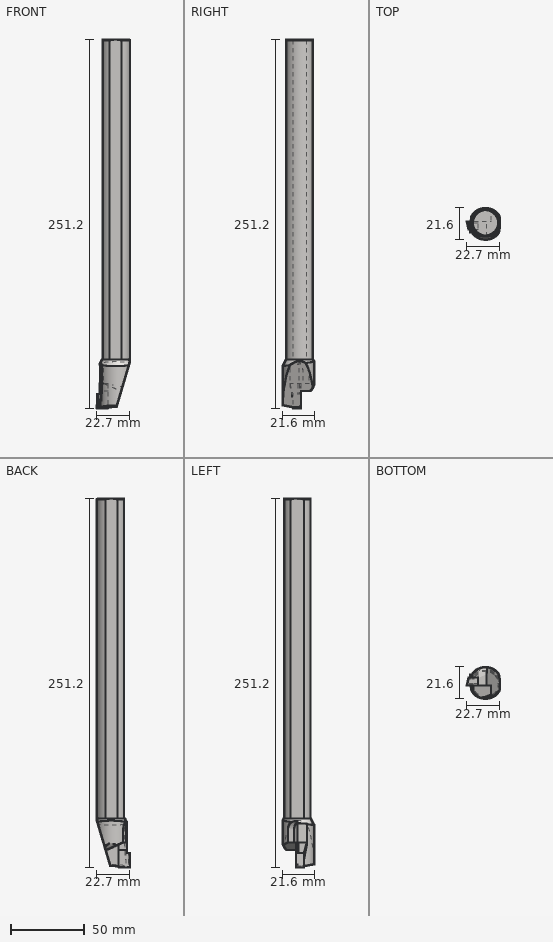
import cadquery as cq

top_z = 251.2
shank_diameter = 19.8
shank_radius = shank_diameter / 2
shank_end_z = 33.5
side_flat = 9.0
back_flat = 8.8
end_chamfer_width = 1.3
end_chamfer_height = 0.8

head_radius = 10.8
head_offset_y = -0.8
shoulder_top_radius = 9.3
shoulder_radius = head_radius - head_offset_y
shoulder_base_z = 29.0
taper_top = (10.0, 32.7)
taper_bottom = (0.8, 1.3)
heel_z = 0.3
heel_rise_y = 2.3

rake_y = 1.0
wall_x = -8.0
wall_bottom_z = 17.0
ramp_start_z = 24.9
ramp_mid = (-8.5, 28.6)
ramp_end = (-10.3, 32.0)
wall_inner_y = 2.3
wall_outer_y = -0.3
wall_step_x = -10.0
lip_x = 3.8
lip_z = 11.8
corner_points = [(10.3, 19.8), (9.3, 14.5), (7.3, lip_z)]

relief_edge_y = -6.8
relief_edge_x = -9.0
relief_top_z = 30.2
relief_tip_z = 5.5

insert_top_z = 17.0
insert_depth_x = -5.0
insert_seat_x = -10.5
insert_land_x = -12.5
insert_land_z = 10.0
nose_x = -12.8
nose_height = 2.3
clearance_x = -11.5
insert_base_y = -6.5
insert_tip_base_y = -4.5

span = 30.2


def prism_along_y(points, y_low, y_high):
    """Extrude an XZ outline between two Y positions."""
    plane = cq.Workplane("XZ", origin=(0, y_high, 0))
    return plane.polyline(points).close().extrude(y_high - y_low)


def make_shank():
    bar = (
        cq.Workplane("XZ")
        .moveTo(0, shank_end_z)
        .lineTo(shank_radius, shank_end_z)
        .lineTo(shank_radius, top_z - end_chamfer_height)
        .lineTo(shank_radius - end_chamfer_width, top_z)
        .lineTo(0, top_z)
        .close()
        .revolve(360, (0, 0, 0), (0, 1, 0))
    )
    flats = cq.Workplane("XY").box(
        back_flat + span, 2 * side_flat, top_z, centered=(False, True, False)
    ).translate((-back_flat, 0, 0))
    return bar.intersect(flats)


def make_head_blank():
    """Offset round, trimmed by the shoulder cone, the taper and the underside."""
    round_body = cq.Workplane("XY").center(0, head_offset_y).circle(head_radius).extrude(shank_end_z)
    shoulder = (
        cq.Workplane("XZ")
        .polyline([
            (0, 0),
            (shoulder_radius, 0),
            (shoulder_radius, shoulder_base_z),
            (shoulder_top_radius, shank_end_z),
            (0, shank_end_z),
        ])
        .close()
        .revolve(360, (0, 0, 0), (0, 1, 0))
    )
    taper = prism_along_y(
        [(-span, heel_z), (-head_radius, heel_z), taper_bottom, taper_top, (taper_top[0], top_z), (-span, top_z)],
        -span, span,
    )
    underside = (
        cq.Workplane("YZ", origin=(-span, 0, 0))
        .polyline([(span, 0), (0, 0), (-shoulder_radius, heel_rise_y), (-shoulder_radius, top_z), (span, top_z)])
        .close()
        .extrude(2 * span)
    )
    return round_body.intersect(shoulder).intersect(taper).intersect(underside)


def make_chip_wall_cut():
    """Upright wall that runs out upwards in an arc, with a slanted inner side."""
    wall = (
        cq.Workplane("XZ", origin=(0, span, 0))
        .moveTo(-span, wall_bottom_z)
        .lineTo(wall_x, wall_bottom_z)
        .lineTo(wall_x, ramp_start_z)
        .threePointArc(ramp_mid, ramp_end)
        .lineTo(-span, ramp_end[1])
        .close()
        .extrude(2 * span)
    )
    slanted_side = (
        cq.Workplane("XY")
        .polyline([
            (wall_x, span),
            (wall_x, wall_inner_y),
            (wall_step_x, wall_outer_y),
            (-span, wall_outer_y),
            (-span, span),
        ])
        .close()
        .extrude(shank_end_z)
    )
    return wall.intersect(slanted_side)


def make_rake_cut():
    """Clearance above the rake plane, below the sloping lip."""
    return prism_along_y(
        [
            (-span, -span),
            (-span, wall_bottom_z),
            (wall_x, wall_bottom_z),
            (lip_x, lip_z),
            (span, lip_z),
            (span, -span),
        ],
        rake_y, span,
    )


def make_corner_cut():
    """Rounding of the lower +Y corner above the lip."""
    start, middle, end = corner_points
    return (
        cq.Workplane("YZ", origin=(-span, 0, 0))
        .moveTo(*start)
        .threePointArc(middle, end)
        .lineTo(span, end[1])
        .lineTo(span, start[1])
        .close()
        .extrude(2 * span)
    )


def make_relief_cut():
    """Slanted flat beside the rake plane, narrowing to the insert tip at its lower end."""
    flat = (
        cq.Workplane("XY")
        .polyline([
            (-head_radius, 0),
            (relief_edge_x, relief_edge_y),
            (-span, relief_edge_y),
            (-span, 0),
        ])
        .close()
        .extrude(relief_top_z)
    )
    narrowing = (
        cq.Workplane("YZ", origin=(-span, 0, 0))
        .polyline([
            (0, 0),
            (insert_tip_base_y, 0),
            (insert_tip_base_y, relief_tip_z),
            (relief_edge_y, insert_top_z),
            (relief_edge_y, relief_top_z),
            (0, relief_top_z),
        ])
        .close()
        .extrude(2 * span)
    )
    return flat.intersect(narrowing)


def make_insert():
    outline = prism_along_y(
        [
            (insert_depth_x, insert_top_z),
            (insert_seat_x, insert_top_z),
            (insert_seat_x, insert_land_z),
            (insert_land_x, insert_land_z),
            (insert_land_x, nose_height),
            (nose_x, nose_height),
            (nose_x, heel_z),
            (insert_seat_x, 0),
            (insert_depth_x, heel_z),
        ],
        insert_base_y, rake_y,
    )
    wedge = (
        cq.Workplane("YZ", origin=(-span, 0, 0))
        .polyline([
            (rake_y, 0),
            (insert_tip_base_y, 0),
            (insert_tip_base_y, insert_land_z),
            (insert_base_y, insert_top_z),
            (wall_outer_y, insert_top_z),
            (rake_y, lip_z),
        ])
        .close()
        .extrude(2 * span)
    )
    clearance = (
        cq.Workplane("XY")
        .polyline([
            (nose_x, rake_y),
            (clearance_x, insert_tip_base_y),
            (clearance_x, insert_base_y),
            (insert_depth_x, insert_base_y),
            (insert_depth_x, rake_y),
        ])
        .close()
        .extrude(insert_top_z)
    )
    return outline.intersect(wedge).intersect(clearance)


insert = make_insert().solids()
head = make_head_blank()
for cut in (make_chip_wall_cut(), make_rake_cut(), make_corner_cut(), make_relief_cut(), insert):
    head = head.cut(cut)
holder = make_shank().union(head).solids()

result = cq.Compound.makeCompound([holder.val(), insert.val()])